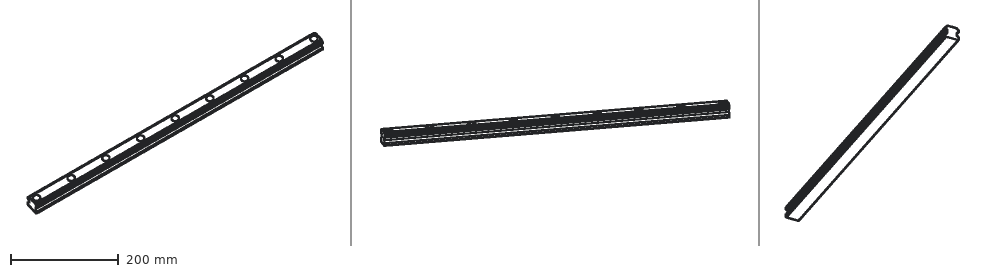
import cadquery as cq
import math

WIDTH = 28.0
LENGTH = 660.0
HEIGHT = 26.0

TOP_CHAMFER = 0.85
GROOVE_EDGE_X = 10.2
LIP_CENTER_Z = 20.2
LIP_HALF_HEIGHT = 2.5
LIP_CHAMFER = 1.4
GROOVE_RADIUS = 4.0

WAIST_HALF_WIDTH = 9.75
WAIST_BOTTOM_Z = 10.0
BASE_CHAMFER = 1.5

RECESS_DIAMETER = 14.0
RECESS_DEPTH = 0.3
RECESS_PITCH = 80.0
RECESS_END_DISTANCE = 10.0

HALF_WIDTH = WIDTH / 2
GROOVE_TOP_Z = HEIGHT - TOP_CHAMFER
GROOVE_BOTTOM_Z = 2 * LIP_CENTER_Z - GROOVE_TOP_Z
WAIST_TOP_Z = GROOVE_BOTTOM_Z - (GROOVE_EDGE_X - WAIST_HALF_WIDTH)
FOOT_TOP_Z = WAIST_BOTTOM_Z - (HALF_WIDTH - WAIST_HALF_WIDTH)


def groove_bottom():
    """Middle point (x, z) of the upper ball groove's arc, which sinks into the head."""
    run = HALF_WIDTH - LIP_CHAMFER - GROOVE_EDGE_X
    drop = GROOVE_TOP_Z - (LIP_CENTER_Z + LIP_HALF_HEIGHT)
    chord = math.hypot(run, drop)
    sag = GROOVE_RADIUS - math.sqrt(GROOVE_RADIUS**2 - (chord / 2) ** 2)
    x = GROOVE_EDGE_X + run / 2 - sag * drop / chord
    z = GROOVE_TOP_Z - drop / 2 - sag * run / chord
    return x, z


def half_rail():
    """The +X half of the rail, extruded along its length from the middle plane."""
    lip_x = HALF_WIDTH - LIP_CHAMFER
    lip_top_z = LIP_CENTER_Z + LIP_HALF_HEIGHT
    lip_bottom_z = LIP_CENTER_Z - LIP_HALF_HEIGHT
    groove_x, upper_groove_z = groove_bottom()
    lower_groove_z = 2 * LIP_CENTER_Z - upper_groove_z
    profile = (
        cq.Workplane("XZ")
        .moveTo(0, HEIGHT)
        .lineTo(GROOVE_EDGE_X - TOP_CHAMFER, HEIGHT)
        .lineTo(GROOVE_EDGE_X, GROOVE_TOP_Z)
        .threePointArc((groove_x, upper_groove_z), (lip_x, lip_top_z))
        .lineTo(HALF_WIDTH, lip_top_z - LIP_CHAMFER)
        .lineTo(HALF_WIDTH, lip_bottom_z + LIP_CHAMFER)
        .lineTo(lip_x, lip_bottom_z)
        .threePointArc((groove_x, lower_groove_z), (GROOVE_EDGE_X, GROOVE_BOTTOM_Z))
        .lineTo(WAIST_HALF_WIDTH, WAIST_TOP_Z)
        .lineTo(WAIST_HALF_WIDTH, WAIST_BOTTOM_Z)
        .lineTo(HALF_WIDTH, FOOT_TOP_Z)
        .lineTo(HALF_WIDTH, BASE_CHAMFER)
        .lineTo(HALF_WIDTH - BASE_CHAMFER, 0)
        .lineTo(0, 0)
        .close()
    )
    return profile.extrude(LENGTH / 2, both=True)


def rail_body():
    half = half_rail()
    return half.union(half.mirror("YZ")).clean()


def recesses():
    count = round((LENGTH - 2 * RECESS_END_DISTANCE) / RECESS_PITCH) + 1
    first_y = -LENGTH / 2 + RECESS_END_DISTANCE
    centers = [(0, first_y + i * RECESS_PITCH) for i in range(count)]
    return (
        cq.Workplane("XY", origin=(0, 0, HEIGHT - RECESS_DEPTH))
        .pushPoints(centers)
        .circle(RECESS_DIAMETER / 2)
        .extrude(RECESS_DEPTH)
    )


result = rail_body().cut(recesses())